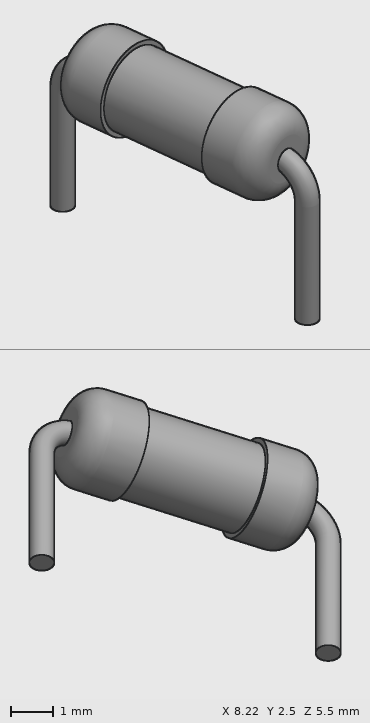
import cadquery as cq

lead_pitch = 7.62
lead_diameter = 0.6
lead_drop = 3.0
bend_radius = 1.5 * lead_diameter

body_length = 6.3
cap_diameter = 2.5
cap_length = body_length / 4
cap_rounding = cap_diameter / 4
barrel_diameter = 0.9 * cap_diameter

axis_height = cap_diameter / 2
center_x = lead_pitch / 2
body_start_x = center_x - body_length / 2


def rod_along_x(start_x, diameter, length):
    """Cylinder on the body axis, running in +X from start_x."""
    plane = cq.Plane(origin=(start_x, 0, axis_height), xDir=(0, 1, 0), normal=(1, 0, 0))
    return cq.Workplane(plane).circle(diameter / 2).extrude(length)


def make_body():
    """Barrel between two wider caps, each rounded around its outer end."""
    barrel = rod_along_x(body_start_x + cap_length, barrel_diameter, body_length - 2 * cap_length)
    first_cap = rod_along_x(body_start_x, cap_diameter, cap_length)
    first_cap = first_cap.faces("<X").edges().fillet(cap_rounding)
    second_cap = first_cap.mirror("YZ", (center_x, 0, 0))
    return barrel.union(first_cap).union(second_cap)


def make_first_lead():
    """Straight pin, quarter bend, then a straight run through the cap."""
    bend_start_z = axis_height - bend_radius
    path = (
        cq.Workplane("XZ")
        .moveTo(0, -lead_drop)
        .lineTo(0, bend_start_z)
        .radiusArc((bend_radius, axis_height), bend_radius)
        .lineTo(body_start_x + cap_length, axis_height)
    )
    profile = cq.Workplane("XY", origin=(0, 0, -lead_drop)).circle(lead_diameter / 2)
    return profile.sweep(path)


first_lead = make_first_lead()
second_lead = first_lead.mirror("YZ", (center_x, 0, 0))
result = make_body().union(first_lead).union(second_lead)